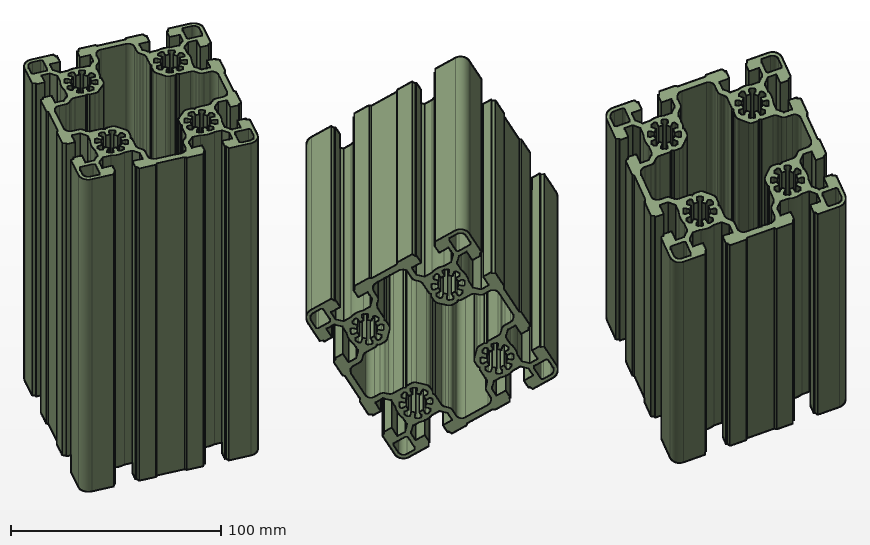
import cadquery as cq
import math

SIDE = 90.0
LENGTH = 200.0
CORNER_RADIUS = 5.0

HALF_SIDE = SIDE / 2
CELL_CENTRE = HALF_SIDE / 2

SLOT_OPENING = 10.0
SLOT_WIDTH = 20.5
SLOT_LIP = 6.0
SLOT_CORNER = 2.8
MOUTH_STEP_WIDTH = 1.5
MOUTH_STEP_SLOPE = 0.8
MOUTH_STEP_DEPTH = 1.5

CORE_RADIUS = 10.0
FLOOR_DISTANCE = 9.5
GROOVE_WIDTH = 2.0
GROOVE_DEPTH = 0.5

CAVITY_WALL = 4.0
SLOT_WALL = 2.8
CAVITY_CORNER_RADIUS = 3.2
SHOULDER_DEPTH = 11.5
CORE_CHAMFER = 5.2
CHAMFER_BLEND_RADIUS = 3.0
SHOULDER_BLEND_RADIUS = 3.2

RECESS_WIDTH = 15.5
RECESS_DEPTH = 0.8

HOLLOW_WALL = 2.0
HOLLOW_SIZE = 8.0
HOLLOW_OUTER_RADIUS = CORNER_RADIUS - HOLLOW_WALL
HOLLOW_INNER_RADIUS = 1.0

BORE_RADIUS = 8.0
TOOTH_ROOT_RADIUS = 1.0
TOOTH_TIP_DISTANCE = 4.8
TOOTH_WIDTH = 2.2
TOOTH_COUNT = 8

QUARTER_TURNS = (0, 90, 180, 270)


def turned(body, angle):
    """Turn a body about the Z axis."""
    return body.rotate((0, 0, 0), (0, 0, 1), angle)


def around_turns(count, x, y):
    """Points (x, y) and (x, -y) repeated at equal turns about the origin."""
    points = []
    for index in range(count):
        turn = index * 2 * math.pi / count
        for side_y in (y, -y):
            points.append(
                (
                    x * math.cos(turn) - side_y * math.sin(turn),
                    x * math.sin(turn) + side_y * math.cos(turn),
                )
            )
    return points


def vertical_edges(points):
    """Selector for the edges parallel to Z that pass through the given (x, y) points."""
    selector = cq.selectors.NearestToPointSelector((*points[0], LENGTH / 2))
    for point in points[1:]:
        selector = selector + cq.selectors.NearestToPointSelector((*point, LENGTH / 2))
    return selector


def t_slot(centre_x):
    """Slot opening in the +Y face, with a stepped mouth and a rounded ridge on its floor."""
    opening = SLOT_OPENING / 2
    mouth = opening + MOUTH_STEP_WIDTH
    inner = SLOT_WIDTH / 2
    step_y = HALF_SIDE - MOUTH_STEP_DEPTH
    lip_y = HALF_SIDE - SLOT_LIP
    floor_y = CELL_CENTRE + FLOOR_DISTANCE
    ridge = math.sqrt(CORE_RADIUS**2 - FLOOR_DISTANCE**2)
    right_half = [
        (mouth, HALF_SIDE),
        (mouth - MOUTH_STEP_SLOPE, step_y),
        (opening, step_y),
        (opening, lip_y),
        (inner, lip_y),
        (inner, floor_y + SLOT_CORNER),
        (inner - SLOT_CORNER, floor_y),
        (ridge, floor_y),
    ]
    left_half = [(-x, y) for x, y in reversed(right_half)]
    return (
        cq.Workplane("XY")
        .center(centre_x, 0)
        .polyline(right_half)
        .threePointArc((0, CELL_CENTRE + CORE_RADIUS), left_half[0])
        .polyline(left_half[1:], includeCurrent=True)
        .close()
        .extrude(LENGTH)
    )


def cavity():
    """Cross-shaped cavity: one eighth of the outline, mirrored and turned, with rounded corners."""
    end_y = HALF_SIDE - CAVITY_WALL
    arm_x = CELL_CENTRE - SLOT_WIDTH / 2 - SLOT_WALL
    core_x = CELL_CENTRE - CORE_RADIUS
    shoulder_y = HALF_SIDE - SHOULDER_DEPTH
    end_corner = (arm_x, end_y)
    shoulder_outer = (arm_x, shoulder_y)
    shoulder_inner = (core_x, shoulder_y - (core_x - arm_x))
    chamfer_end = (core_x, core_x + CORE_CHAMFER)
    eighth = [
        end_corner,
        shoulder_outer,
        shoulder_inner,
        (core_x, CELL_CENTRE + GROOVE_WIDTH / 2),
        (core_x + GROOVE_DEPTH, CELL_CENTRE),
        (core_x, CELL_CENTRE - GROOVE_WIDTH / 2),
        chamfer_end,
    ]
    quarter = eighth + [(y, x) for x, y in reversed(eighth)]
    outline = []
    for _ in QUARTER_TURNS:
        outline += quarter
        quarter = [(y, -x) for x, y in quarter]
    body = cq.Workplane("XY").polyline(outline).close().extrude(LENGTH)
    blends = (
        (end_corner, CAVITY_CORNER_RADIUS),
        (shoulder_outer, SHOULDER_BLEND_RADIUS),
        (shoulder_inner, SHOULDER_BLEND_RADIUS),
        (chamfer_end, CHAMFER_BLEND_RADIUS),
    )
    for (x, y), radius in blends:
        corners = around_turns(len(QUARTER_TURNS), x, y)
        body = body.edges(vertical_edges(corners)).fillet(radius)
    return body


def face_recess():
    """Shallow recess along the middle of the +Y face, its ends sloping at 45 degrees."""
    edge_x = RECESS_WIDTH / 2
    floor_x = edge_x - RECESS_DEPTH
    floor_y = HALF_SIDE - RECESS_DEPTH
    outline = [(-edge_x, HALF_SIDE), (-floor_x, floor_y), (floor_x, floor_y), (edge_x, HALF_SIDE)]
    return cq.Workplane("XY").polyline(outline).close().extrude(LENGTH)


def corner_hollow():
    """Square opening inside the +X+Y corner, its outermost edge following the outer corner."""
    far = HALF_SIDE - HOLLOW_WALL
    near = far - HOLLOW_SIZE
    centre = (near + far) / 2
    square = cq.Workplane("XY").center(centre, centre).rect(HOLLOW_SIZE, HOLLOW_SIZE).extrude(LENGTH)
    outer_edge = vertical_edges([(far, far)])
    inner_edges = cq.selectors.StringSyntaxSelector("|Z") - outer_edge
    hollow = square.edges(inner_edges).fillet(HOLLOW_INNER_RADIUS)
    return hollow.edges(outer_edge).fillet(HOLLOW_OUTER_RADIUS)


def toothed_bore():
    """Bore through the +X+Y core, with teeth pointing at its axis."""
    bore = cq.Workplane("XY").circle(BORE_RADIUS).extrude(LENGTH)
    tooth_length = CELL_CENTRE - TOOTH_TIP_DISTANCE
    tooth = (
        cq.Workplane("XY")
        .center(TOOTH_TIP_DISTANCE + tooth_length / 2, 0)
        .rect(tooth_length, TOOTH_WIDTH)
        .extrude(LENGTH)
    )
    for index in range(TOOTH_COUNT):
        bore = bore.cut(turned(tooth, index * 360 / TOOTH_COUNT))
    root_x = math.sqrt(BORE_RADIUS**2 - (TOOTH_WIDTH / 2) ** 2)
    roots = around_turns(TOOTH_COUNT, root_x, TOOTH_WIDTH / 2)
    bore = bore.edges(vertical_edges(roots)).fillet(TOOTH_ROOT_RADIUS)
    return bore.translate((CELL_CENTRE, CELL_CENTRE, 0))


cutters = [
    t_slot(-CELL_CENTRE),
    t_slot(CELL_CENTRE),
    face_recess(),
    corner_hollow(),
    toothed_bore(),
]

result = cq.Workplane("XY").rect(SIDE, SIDE).extrude(LENGTH).edges("|Z").fillet(CORNER_RADIUS)
result = result.cut(cavity())
for angle in QUARTER_TURNS:
    for cutter in cutters:
        result = result.cut(turned(cutter, angle))